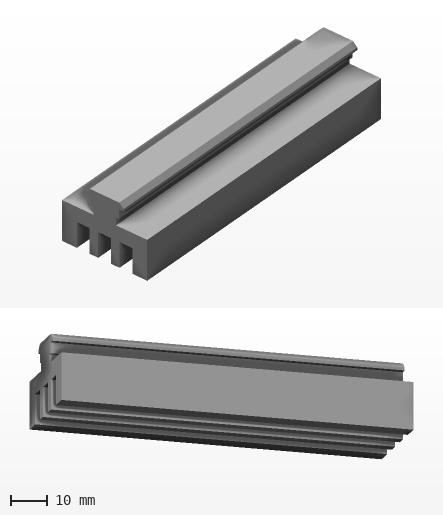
import cadquery as cq

length = 100.0
base_width = 30.0
base_height = 13.5

slot_width = 4.5
slot_depth = 8.5
slot_pitch = 7.5

neck_width = 8.0
neck_height = 2.5
collar_width = 10.0
collar_height = 3.1
head_width = 13.3
head_height = 2.4
head_chamfer = 1.5


def centred_bar(width, height, bottom):
    """Full-length bar centred on X and Y, resting at the given height."""
    return cq.Workplane("XY").box(width, length, height, centered=(True, True, False)).translate((0, 0, bottom))


base = centred_bar(base_width, base_height, 0)
for position in (-1, 0, 1):
    slot = centred_bar(slot_width, slot_depth, 0)
    base = base.cut(slot.translate((position * slot_pitch, 0, 0)))

collar_bottom = base_height + neck_height
head_bottom = collar_bottom + collar_height
neck = centred_bar(neck_width, neck_height, base_height)
collar = centred_bar(collar_width, collar_height, collar_bottom)
head = centred_bar(head_width, head_height, head_bottom)
head = head.edges("|Y and >Z").chamfer(head_chamfer)

result = base.union(neck).union(collar).union(head)